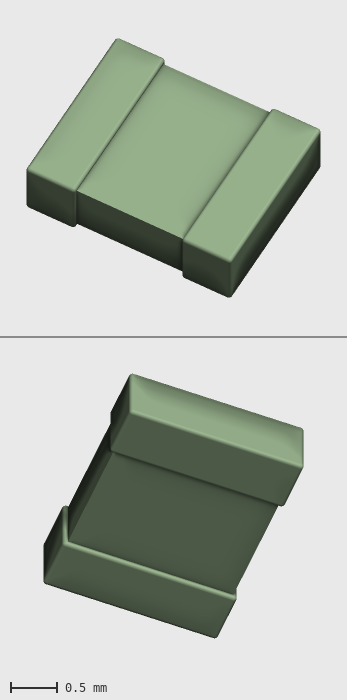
import cadquery as cq

length = 2.5
width = 2.0
height = 0.7
terminal_length = 0.6
terminal_fillet = 0.04
body_recess = 0.05

body_width = width - 2 * body_recess
body_height = height - 2 * body_recess
terminal_offset = (length - terminal_length) / 2


def make_body():
    """Body spanning the terminals, ending at their mid-length."""
    return cq.Workplane("XY").box(2 * terminal_offset, body_width, body_height)


def make_terminal(side):
    """Terminal block with all edges rounded; side is -1 or +1 along X."""
    block = cq.Workplane("XY").box(terminal_length, width, height)
    return block.edges().fillet(terminal_fillet).translate((side * terminal_offset, 0, 0))


result = make_body()
for side in (-1, 1):
    result = result.union(make_terminal(side))